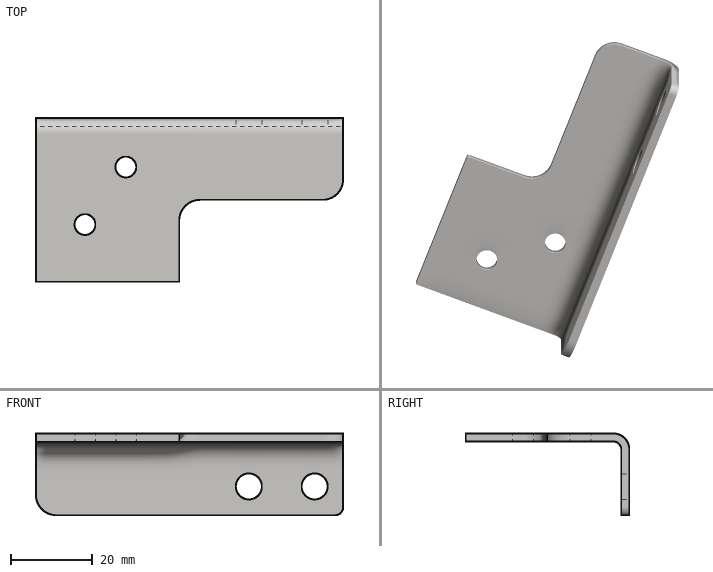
import cadquery as cq

length = 75.0
depth = 40.0
height = 20.0
thickness = 2.0
bend_outer_radius = 4.0
bend_inner_radius = bend_outer_radius - thickness

tab_width = 35.0
arm_depth = 20.0
plate_corner_radius = 5.0

flange_left_radius = 5.0
flange_right_radius = 2.0

plate_holes = [(12.0, 26.0), (22.0, 12.0)]
plate_hole_diameter = 5.0

flange_hole_xs = [52.0, 68.0]
flange_hole_drop = 13.0
flange_hole_diameter = 6.3


def bent_sheet():
    """L-shaped sheet profile with a rounded bend, extruded along X."""
    return (
        cq.Workplane("YZ")
        .moveTo(0, height)
        .lineTo(depth - bend_outer_radius, height)
        .radiusArc((depth, height - bend_outer_radius), bend_outer_radius)
        .lineTo(depth, 0)
        .lineTo(depth - thickness, 0)
        .lineTo(depth - thickness, height - bend_outer_radius)
        .radiusArc((depth - bend_outer_radius, height - thickness), -bend_inner_radius)
        .lineTo(0, height - thickness)
        .close()
        .extrude(length)
    )


def plan_outline():
    """Full-height block with the stepped outline of the top plate."""
    step_y = depth - arm_depth
    return (
        cq.Workplane("XY")
        .moveTo(0, 0)
        .lineTo(tab_width, 0)
        .lineTo(tab_width, step_y - plate_corner_radius)
        .radiusArc((tab_width + plate_corner_radius, step_y), plate_corner_radius)
        .lineTo(length - plate_corner_radius, step_y)
        .radiusArc((length, step_y + plate_corner_radius), -plate_corner_radius)
        .lineTo(length, depth)
        .lineTo(0, depth)
        .close()
        .extrude(height)
    )


def flange_outline():
    """Full-depth block with the rounded lower corners of the flange."""
    return (
        cq.Workplane("XY")
        .box(length, depth, height, centered=False)
        .faces("<X")
        .edges("<Z")
        .fillet(flange_left_radius)
        .faces(">X")
        .edges("<Z")
        .fillet(flange_right_radius)
    )


def plate_hole_cutters():
    """Vertical cylinders through the top plate."""
    return (
        cq.Workplane("XY", origin=(0, depth, height))
        .pushPoints([(x, -rear_distance) for x, rear_distance in plate_holes])
        .circle(plate_hole_diameter / 2)
        .extrude(-thickness)
    )


def flange_hole_cutters():
    """Horizontal cylinders through the flange."""
    return (
        cq.Workplane("XZ", origin=(0, depth, height - flange_hole_drop))
        .pushPoints([(x, 0) for x in flange_hole_xs])
        .circle(flange_hole_diameter / 2)
        .extrude(thickness)
    )


blank = bent_sheet().intersect(plan_outline()).intersect(flange_outline())
result = blank.cut(plate_hole_cutters()).cut(flange_hole_cutters())